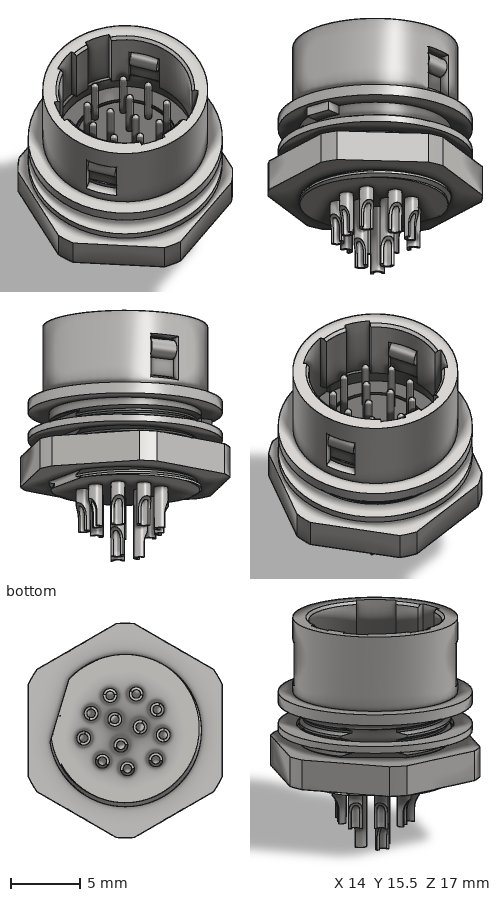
import cadquery as cq
import math

top_z = 12.0
flange_top_z = 6.5
flange_bottom_z = 5.7
thread_top_z = 5.0
washer_top_z = 4.13
washer_bottom_z = 3.64
washer_hole_radius = 5.66
washer_web = 0.15
nut_top_z = 2.8
nut_bottom_z = 0.6
bore_floor_z = 6.2

keying_angle = 16.7
barrel_radius = 5.95
flange_radius = 7.0
bore_radius = 4.8
bore_chamfer = 0.2
keyway_radius = 5.24
main_keyway_width = 2.85
side_keyway_width = 1.82
side_keyway_directions = [-50, -140, 165, 130]

thread_radius = 5.49
thread_root_radius = 5.2
thread_pitch = 0.75
thread_start_z = -0.88
thread_turns = 7.91
groove_root_width = 0.15
groove_flank_run = 0.212
flat_distance = 4.95
tab_reach = 6.6
tab_width = 2.0

nut_across_flats = 2 * flange_radius
nut_corner_radius = 7.744

liner_inner_radius = 5.0
liner_outer_radius = 5.27
liner_top_z = 7.46
liner_gap_width = 4.08

window_width = 2.28
window_bottom_z = 7.17
window_top_z = 10.37
roller_z = 9.49
roller_radius = 0.71
roller_length = 2.04
roller_offset = 5.12
plate_thickness = 0.14
plate_offset = 5.07

insert_radius = 3.8
insert_chamfer = 0.22
pin_radius = 0.25
pin_tip_z = 10.0
outer_circle_radius = 2.75
keyed_circle_radius = 3.05
inner_circle_radius = 1.1
outer_pin_step = 40
keyed_pin_index = 3
keyed_pin_angle = 63
inner_pin_step = 120
outer_cup_openings = [115, 203, 187, 270, 290, 13, 0, 90, 80]
inner_cup_openings = [73, 228, 13]
cup_radius = 0.502
cup_hole_radius = 0.3
cup_opening_offset = 0.07
cup_opening_length = 2.0
cup_straight_length = 1.02
cup_runout_radius = 1.38
outer_cup_end_z = -3.03
inner_cup_end_z = -5.0


def disc(radius, bottom_z, upper_z):
    return cq.Workplane("XY").workplane(offset=bottom_z).circle(radius).extrude(upper_z - bottom_z)


def block(size_x, size_y, center_x, center_y, bottom_z, upper_z):
    base = cq.Workplane("XY").workplane(offset=bottom_z).center(center_x, center_y)
    return base.rect(size_x, size_y).extrude(upper_z - bottom_z)


def turned(shape, angle):
    return shape.rotate((0, 0, 0), (0, 0, 1), angle)


def polar(radius, angle):
    return radius * math.cos(math.radians(angle)), radius * math.sin(math.radians(angle))


def thread_groove():
    """Helical V groove with a narrow flat root, cut from the thread crest inwards."""
    mouth_radius = thread_radius + 0.08
    root_half = groove_root_width / 2
    slope = groove_flank_run / (thread_radius - thread_root_radius)
    mouth_half = root_half + slope * (mouth_radius - thread_root_radius)
    height = thread_turns * thread_pitch
    helix = cq.Wire.makeHelix(thread_pitch, height, thread_root_radius)
    profile = cq.Workplane("XZ").polyline([
        (thread_root_radius, -root_half),
        (mouth_radius, -mouth_half),
        (mouth_radius, mouth_half),
        (thread_root_radius, root_half),
    ]).close()
    groove = profile.sweep(cq.Workplane(obj=helix), isFrenet=True)
    return groove.translate((0, 0, thread_start_z))


def threaded_body():
    body = disc(thread_radius, 0, flange_bottom_z).cut(thread_groove())
    flat_depth = 2 * (thread_radius - flat_distance)
    body = body.cut(block(flat_depth, 2 * thread_radius, -thread_radius, 0, 0, thread_top_z))
    tab_start = thread_root_radius - groove_flank_run
    tab_length = tab_reach - tab_start
    return body.union(block(tab_length, tab_width, tab_start + tab_length / 2, 0, thread_top_z, flange_bottom_z))


def keyway(direction, width, bottom_z, upper_z):
    slot = block(keyway_radius, width, keyway_radius / 2, 0, bottom_z, upper_z)
    return turned(slot.intersect(disc(keyway_radius, bottom_z, upper_z)), direction)


def barrel():
    shell = disc(flange_radius, flange_bottom_z, flange_top_z)
    shell = shell.union(disc(barrel_radius, flange_top_z, top_z))
    bore = disc(bore_radius, bore_floor_z, top_z)
    mouth_bottom = cq.Vector(0, 0, top_z - bore_chamfer)
    mouth = cq.Solid.makeCone(bore_radius, bore_radius + bore_chamfer, bore_chamfer, mouth_bottom)
    shell = shell.cut(bore).cut(mouth)
    shell = shell.cut(keyway(0, main_keyway_width, window_bottom_z, top_z))
    for direction in side_keyway_directions:
        shell = shell.cut(keyway(direction, side_keyway_width, window_bottom_z, top_z))
    shell = shell.cut(disc(liner_inner_radius, bore_floor_z, window_bottom_z))
    return shell.cut(keyway(0, liner_gap_width, bore_floor_z, window_bottom_z))


def insert_groove():
    """V groove left between the bore floor and the chamfered edge of the insert."""
    section = cq.Workplane("XZ").polyline([
        (insert_radius, bore_floor_z),
        (insert_radius, bore_floor_z - insert_chamfer),
        (insert_radius - insert_chamfer, bore_floor_z),
    ])
    return section.close().revolve(360, (0, 0, 0), (0, 1, 0))


def latch():
    """Roller, its carrier plate and the curved sill inside the window on local +Y."""
    roller = cq.Workplane("YZ").center(roller_offset, roller_z).circle(roller_radius)
    roller = roller.extrude(roller_length / 2, both=True)
    plate = block(window_width, plate_thickness, 0, plate_offset, window_bottom_z, roller_z)
    sill = disc(liner_outer_radius, window_bottom_z, liner_top_z)
    sill = sill.cut(disc(liner_inner_radius, window_bottom_z, liner_top_z))
    sill = sill.intersect(block(window_width, barrel_radius, 0, barrel_radius / 2, window_bottom_z, liner_top_z))
    return roller.union(plate).union(sill)


def contact(radius, angle, cup_end_z, opening_direction):
    """Round-tipped pin with a solder cup behind it that opens to one side."""
    pin = disc(pin_radius, bore_floor_z, pin_tip_z).faces(">Z").fillet(pin_radius - 0.002)
    cup = disc(cup_radius, cup_end_z, bore_floor_z)
    hole_top_z = cup_end_z + cup_opening_length
    cup = cup.cut(disc(cup_hole_radius, cup_end_z, hole_top_z))
    straight_top_z = cup_end_z + cup_straight_length
    bend_reach = cup_runout_radius * math.sin(math.radians(45))
    outer_x = cup_opening_offset + cup_runout_radius
    opening = (
        cq.Workplane("XZ")
        .moveTo(cup_opening_offset, cup_end_z)
        .lineTo(cup_opening_offset, straight_top_z)
        .threePointArc(
            (outer_x - bend_reach, straight_top_z + bend_reach),
            (outer_x, straight_top_z + cup_runout_radius),
        )
        .lineTo(outer_x, cup_end_z)
        .close()
        .extrude(cup_radius, both=True)
    )
    upright = turned(pin.union(cup.cut(opening)), opening_direction)
    center_x, center_y = polar(radius, angle)
    return upright.translate((center_x, center_y, 0))


def nut():
    across_corners = nut_across_flats / math.cos(math.radians(30))
    hexagon = cq.Workplane("XY").workplane(offset=nut_bottom_z).polygon(6, across_corners)
    hexagon = turned(hexagon.extrude(nut_top_z - nut_bottom_z), 30)
    return hexagon.intersect(disc(nut_corner_radius, nut_bottom_z, nut_top_z))


connector = threaded_body().union(barrel())
for side in (0, 180):
    window = block(window_width, barrel_radius, 0, barrel_radius / 2, window_bottom_z, window_top_z)
    connector = connector.cut(turned(window, side))
    connector = connector.union(turned(latch(), side))

connector = connector.cut(insert_groove())

connector = turned(connector, keying_angle)

for index, opening_direction in enumerate(outer_cup_openings):
    step = index - len(outer_cup_openings) // 2
    radius = outer_circle_radius
    angle = keying_angle + 270 + step * outer_pin_step
    if abs(step) == keyed_pin_index:
        radius = keyed_circle_radius
        angle = keying_angle + 90 - math.copysign(keyed_pin_angle, step)
    connector = connector.union(contact(radius, angle, outer_cup_end_z, opening_direction))
for index, opening_direction in enumerate(inner_cup_openings):
    angle = keying_angle + 90 + index * inner_pin_step
    connector = connector.union(contact(inner_circle_radius, angle, inner_cup_end_z, opening_direction))

web_top_z = washer_bottom_z + washer_web
washer = disc(flange_radius, washer_bottom_z, washer_top_z)
washer = washer.cut(disc(washer_hole_radius, web_top_z, washer_top_z))
result = connector.union(washer).union(nut())